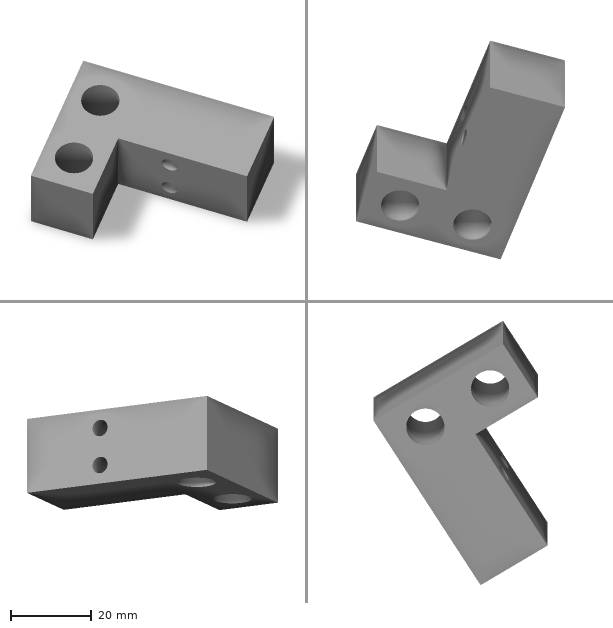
import cadquery as cq

length = 50.8
depth = 38.1
height = 19.05

front_leg_width = 16.5
back_leg_depth = 19.7

large_hole_diameter = 9.55
large_hole_spacing = depth / 2
first_large_hole_y = 8.9
large_hole_x = front_leg_width / 2

small_hole_diameter = 4.2
small_hole_spacing = height / 2
small_hole_x = 30.2


def l_block():
    """L-shaped block with its outer front-left corner at the origin."""
    inner_corner_y = depth - back_leg_depth
    outline = [
        (0, 0),
        (front_leg_width, 0),
        (front_leg_width, inner_corner_y),
        (length, inner_corner_y),
        (length, depth),
        (0, depth),
    ]
    return cq.Workplane("XY").polyline(outline).close().extrude(height)


def large_holes():
    """Cylinders running the full height of the front leg."""
    centres = [
        (large_hole_x, first_large_hole_y),
        (large_hole_x, first_large_hole_y + large_hole_spacing),
    ]
    return cq.Workplane("XY").pushPoints(centres).circle(large_hole_diameter / 2).extrude(height)


def small_holes():
    """Cylinders running along Y through the back leg."""
    centres = [
        (small_hole_x, height / 2 + side * small_hole_spacing / 2)
        for side in (-1, 1)
    ]
    return cq.Workplane("XZ").pushPoints(centres).circle(small_hole_diameter / 2).extrude(-depth)


result = l_block().cut(large_holes()).cut(small_holes())